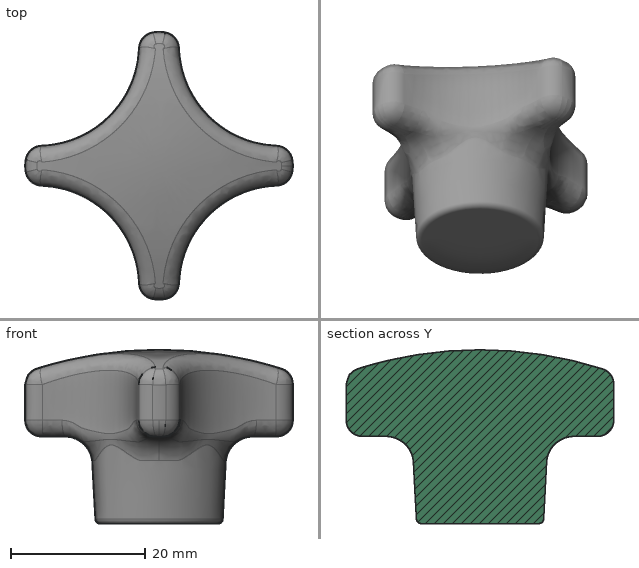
import cadquery as cq
import math

height = 26.0
tip_reach = 20.0
arm_count = 4

dome_radius = 60.0
arm_underside = 13.0
scoop_radius = 15.0
scoop_offset = 18.0
tip_radius = 4.5
corner_radius = 2.6
edge_radius = 2.5

hub_base_radius = 9.5
hub_slope = math.tan(math.radians(3.0))
neck_radius = 4.0
rim_radius = 0.8

head_bottom = arm_underside - 1.5 * neck_radius
void_bottom = head_bottom - 1.0
void_reach = tip_reach + 2.0
void_lean = 2 * hub_slope
void_sections = 33
neck_overlap = 0.008
edge_band = 0.5

arm_pitch = 2 * math.pi / arm_count
scoop_center = (scoop_offset, scoop_offset)
scoop_distance = math.hypot(*scoop_center)
scoop_direction = math.pi / 4
ball_gap = (neck_radius - neck_overlap) * math.hypot(1, hub_slope)


def hub_radius(z):
    return hub_base_radius + z * hub_slope


def polar(center, radius, angle):
    return (center[0] + radius * math.cos(angle), center[1] + radius * math.sin(angle))


def direction(start, end):
    return math.atan2(end[1] - start[1], end[0] - start[0])


def turned(point, arm):
    """Point on the first arm carried over to another arm."""
    return polar((0, 0), math.hypot(*point), direction((0, 0), point) + arm * arm_pitch)


def mirrored(point):
    return (point[0], -point[1])


def find_corner_center(tip_center):
    """Center of the corner arc, tangent to the tip arc and to the scoop arc."""
    to_tip = tip_radius - corner_radius
    to_scoop = scoop_radius + corner_radius
    span = math.dist(tip_center, scoop_center)
    cosine = (to_tip**2 + span**2 - to_scoop**2) / (2 * to_tip * span)
    return polar(tip_center, to_tip, direction(tip_center, scoop_center) - math.acos(cosine))


def star_outline():
    """Plan outline: per arm a corner arc, the tip arc, a corner arc and the next scoop."""
    tip_center = (tip_reach - tip_radius, 0)
    corner = find_corner_center(tip_center)
    tip_angle = direction(tip_center, corner)
    side_angle = direction(corner, scoop_center)
    tip_end = polar(tip_center, tip_radius, tip_angle)
    corner_mid = polar(corner, corner_radius, (tip_angle + side_angle) / 2)
    side_end = polar(corner, corner_radius, side_angle)
    scoop_mid = polar(scoop_center, scoop_radius, scoop_direction + math.pi)
    next_side = (side_end[1], side_end[0])

    outline = cq.Workplane("XY").workplane(offset=head_bottom).moveTo(*mirrored(side_end))
    for arm in range(arm_count):
        for middle, end in (
            (mirrored(corner_mid), mirrored(tip_end)),
            ((tip_reach, 0), tip_end),
            (corner_mid, side_end),
            (scoop_mid, next_side),
        ):
            outline = outline.threePointArc(turned(middle, arm), turned(end, arm))
    return outline.close()


def wall_edges(body, z_low, z_high):
    """Edges of the upright star walls whose centers lie between two heights."""
    zone = cq.selectors.BoxSelector(
        (-void_reach, -void_reach, z_low), (void_reach, void_reach, z_high))
    return body.faces("%CYLINDER").edges(zone)


def make_star_blank():
    """Star prism with a domed top and rounded upper edges."""
    prism = star_outline().extrude(height - head_bottom)
    dome = cq.Workplane("XY").sphere(dome_radius).translate((0, 0, height - dome_radius))
    blank = prism.intersect(dome)
    dome_edge_low = height - dome_radius + math.sqrt(dome_radius**2 - tip_reach**2)
    return wall_edges(blank, dome_edge_low, height).fillet(edge_radius)


def neck_drop(angle):
    """Depth of the neck arc center below the arm undersides, angle taken from the scoop middle.

    Under the arms the arc is tangent to the flat underside. Where a scoop leaves too little
    underside for that, the arc still touches the hub and passes through the scoop's lower edge.
    """
    reach_to_arc = hub_radius(arm_underside) + ball_gap
    flat_reach = reach_to_arc - neck_radius * hub_slope
    cosine = (flat_reach**2 + scoop_distance**2 - scoop_radius**2) / (2 * flat_reach * scoop_distance)
    if math.cos(angle) <= cosine:
        return neck_radius
    across = scoop_distance * math.sin(angle)
    edge_reach = scoop_distance * math.cos(angle) - math.sqrt(scoop_radius**2 - across**2)
    ledge = reach_to_arc - edge_reach
    square = 1 + hub_slope**2
    root = math.sqrt((ledge * hub_slope) ** 2 - square * (ledge**2 - neck_radius**2))
    return (ledge * hub_slope + root) / square


def void_section(angle):
    """Radial section of the space around the hub and below the head."""
    arc_z = arm_underside - neck_drop(angle)
    arc_r = hub_radius(arc_z) + ball_gap
    ceiling = arc_z + neck_radius
    inner_r = arc_r - neck_radius
    arc_shift = neck_radius / math.sqrt(2)
    azimuth = scoop_direction + angle

    def at(r, z):
        return cq.Vector(r * math.cos(azimuth), r * math.sin(azimuth), z)

    corners = [
        at(arc_r, ceiling),
        at(void_reach, ceiling),
        at(void_reach, void_bottom),
        at(inner_r - (arc_z - void_bottom) * void_lean, void_bottom),
        at(inner_r, arc_z),
    ]
    neck_mid = at(arc_r - arc_shift, arc_z + arc_shift)
    edges = [cq.Edge.makeThreePointArc(corners[-1], neck_mid, corners[0])]
    for start, end in zip(corners, corners[1:]):
        edges.append(cq.Edge.makeLine(start, end))
    return cq.Wire.assembleEdges(edges)


def make_scoop_void():
    """Space below the head over one scoop, from the middle of one arm to the next."""
    sections = []
    for index in range(void_sections):
        angle = arm_pitch * (index / (void_sections - 1) - 0.5)
        sections.append(void_section(angle))
    return cq.Workplane(cq.Solid.makeLoft(sections))


def make_head():
    """Star with its neck and undersides shaped and its lower edges rounded."""
    head = make_star_blank()
    void = make_scoop_void()
    for arm in range(arm_count):
        head = head.cut(void.rotate((0, 0, 0), (0, 0, 1), math.degrees(arm * arm_pitch)))
    lower_edges = wall_edges(head, arm_underside - edge_band, arm_underside + edge_band)
    return lower_edges.fillet(edge_radius)


def make_hub():
    """Drafted round hub with a rounded lower rim."""
    hub = (
        cq.Workplane("XZ")
        .lineTo(hub_base_radius, 0)
        .lineTo(hub_radius(arm_underside), arm_underside)
        .lineTo(0, arm_underside)
        .close()
        .revolve(360, (0, 0, 0), (0, 1, 0))
    )
    return hub.faces("<Z").edges().fillet(rim_radius)


knob = make_head().union(make_hub())
result = cq.Workplane(knob.solids().val())